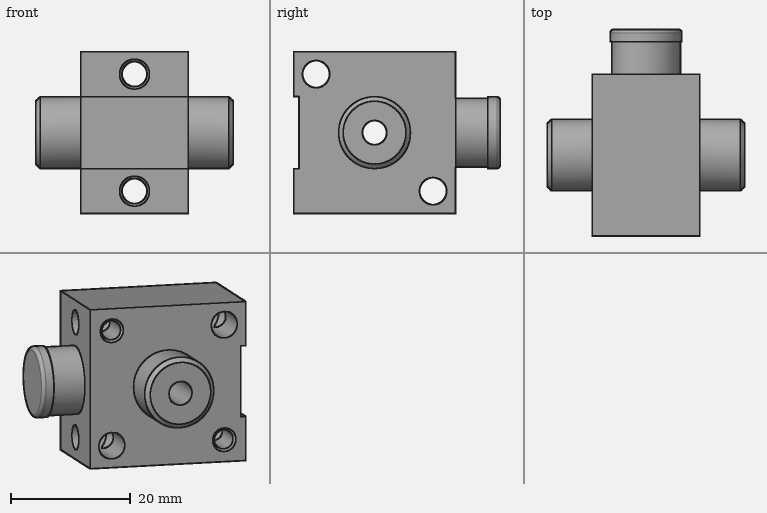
import cadquery as cq

block_width = 18.0
block_side = 27.0

shaft_length = 33.0
shaft_diameter = 12.0
shaft_chamfer = 0.75
shaft_bore = 4.0

overall_depth = 34.5
spigot_length = overall_depth - block_side
spigot_diameter = 11.52
collar_diameter = shaft_diameter
collar_length = 2.07
collar_fillet = 0.62

groove_height = shaft_diameter
groove_depth = 0.85

hole_offset = 9.75
clearance_diameter = 4.5
side_hole_diameter = 3.25
side_hole_mouth = 4.0
front_hole_diameter = 4.15
front_hole_mouth = 5.0

half_width = block_width / 2
half_side = block_side / 2


def cylinder_x(diameter, start, length, y=0, z=0):
    """Cylinder running in +X from the given start."""
    return cq.Workplane("YZ", origin=(start, y, z)).circle(diameter / 2).extrude(length)


def cylinder_y(diameter, start, length, z=0):
    """Cylinder running in +Y from the given start."""
    return cq.Workplane("XZ", origin=(0, start, z)).circle(diameter / 2).extrude(-length)


def countersink(hole_diameter, mouth_diameter, mouth_centre, direction):
    """45 degree cone narrowing from the mouth to the hole diameter."""
    depth = (mouth_diameter - hole_diameter) / 2
    return cq.Workplane(
        cq.Solid.makeCone(
            mouth_diameter / 2, hole_diameter / 2, depth, cq.Vector(*mouth_centre), cq.Vector(*direction)
        )
    )


def make_spigot():
    """Spigot with a rounded collar at its free end."""
    stem = cylinder_y(spigot_diameter, half_side, spigot_length - collar_length)
    collar = cylinder_y(collar_diameter, half_side + spigot_length - collar_length, collar_length)
    return stem.union(collar.faces(">Y").edges().fillet(collar_fillet))


body = cq.Workplane("XY").box(block_width, block_side, block_side)
groove = cq.Workplane("XY").box(block_width, groove_depth, groove_height)
body = body.cut(groove.translate((0, (groove_depth - block_side) / 2, 0)))

shaft = cylinder_x(shaft_diameter, -shaft_length / 2, shaft_length)
shaft = shaft.faces("<X or >X").edges().chamfer(shaft_chamfer)
body = body.union(shaft).union(make_spigot())
body = body.cut(cylinder_x(shaft_bore, -shaft_length / 2, shaft_length))

for side in (-1, 1):
    offset = side * hole_offset

    body = body.cut(cylinder_x(clearance_diameter, -half_width, block_width, -offset, offset))

    body = body.cut(cylinder_x(side_hole_diameter, -half_width, half_width, offset, offset))
    mouth = (-half_width, offset, offset)
    body = body.cut(countersink(side_hole_diameter, side_hole_mouth, mouth, (1, 0, 0)))

    body = body.cut(cylinder_y(front_hole_diameter, -half_side, block_side, offset))
    mouth = (0, -half_side, offset)
    body = body.cut(countersink(front_hole_diameter, front_hole_mouth, mouth, (0, 1, 0)))

result = body